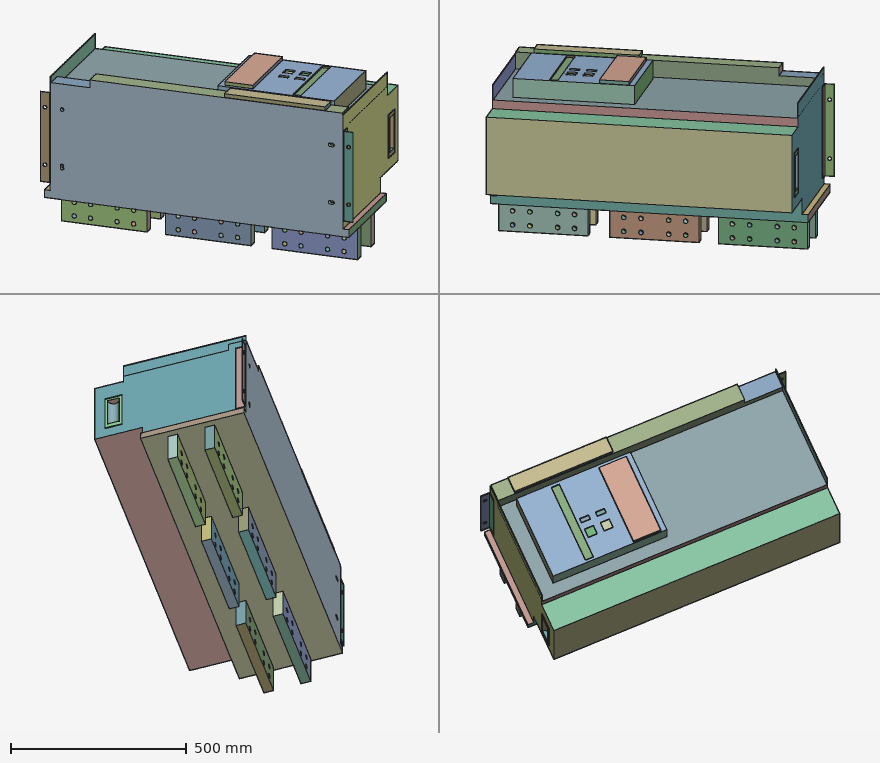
import cadquery as cq

body_width = 889.0
depth = 452.0
upper_depth = 366.0
base_depth = 309.0
base_width = 924.0
base_height = 24.0
housing_bottom = 70.0
housing_top = 300.5
floor_height = 326.0
sheet = 2.4
sheet_top = 371.0

rail_depth = 52.0
rail_low_top = 353.0
rail_top = 376.0
rail_step_x = -324.0

strip_left, strip_right = 83.0, 390.0
strip_front, strip_back = 2.0, 49.0
strip_top = 388.0

panel_left, panel_right = 39.0, 392.0
panel_front, panel_back = 69.0, 328.0
panel_top = 382.0
display_left, display_right = 56.0, 141.0
display_front, display_back = 81.0, 325.0
display_top = 392.0
recess_depth = 5.0
button_width = 27.5
button_centers_x = (190.0, 239.0)
button_rows = ((246.0, 27.5), (204.0, 13.0))
slot_left, slot_right = 264.0, 288.0
slot_front, slot_back = 78.0, 319.5

overall_width = 948
angle_bottom, angle_top = 47.0, 321.0
angle_depth = 29.0
angle_bend_radius = sheet
mount_hole_x = 461.0
mount_hole_heights = (100.0, 275.0)
mount_hole_diameter = 10.0

front_hole_x = 409.0
front_hole_diameter = 10.0
front_hole_depth = 14.0
front_slot_length = 17.0

handle_front, handle_back = 370.0, 421.0
handle_bottom, handle_top = 107.0, 239.0
grip_center_y = 395.0
grip_radius = 17.0
grip_bottom, grip_top = 122.0, 227.5

bar_width = 260.0
bar_length = 102.0
bar_thickness = 29.0
bar_lefts = (-body_width / 2, -129.0, 194.0)
bar_fronts = (93.0, 204.0)
bar_hole_offsets = (39.0, 88.0, 169.0, 219.0)
bar_hole_heights = (-82.5, -41.0)
bar_hole_diameter = 13.0

half_body = body_width / 2
half_inside = half_body - sheet


def box(x_range, y_range, z_range):
    """Box spanning the given (low, high) pairs."""
    (x0, x1), (y0, y1), (z0, z1) = x_range, y_range, z_range
    return cq.Workplane("XY").box(x1 - x0, y1 - y0, z1 - z0, centered=False).translate((x0, y0, z0))


def side_profile(top):
    """Side outline in the YZ plane with the rear housing, up to the given height."""
    return (
        cq.Workplane("YZ")
        .moveTo(0, 0)
        .lineTo(base_depth, 0)
        .lineTo(base_depth, housing_bottom)
        .lineTo(depth, housing_bottom)
        .lineTo(depth, housing_top)
        .lineTo(upper_depth, housing_top)
        .lineTo(upper_depth, top)
        .lineTo(0, top)
        .close()
    )


def cabinet():
    body = side_profile(floor_height).extrude(half_body, both=True)
    for x in (-half_body, half_inside):
        body = body.union(side_profile(sheet_top).extrude(sheet).translate((x, 0, 0)))
    base = box((-base_width / 2, base_width / 2), (0, base_depth), (0, base_height))
    return body.union(base)


def front_rail():
    low = box((-half_inside, half_inside), (0, rail_depth), (floor_height, rail_low_top))
    high = box((rail_step_x, half_inside), (0, rail_depth), (floor_height, rail_top))
    strip = box((strip_left, strip_right), (strip_front, strip_back), (rail_top, strip_top))
    return low.union(high).union(strip)


def operator_panel():
    panel = box((panel_left, panel_right), (panel_front, panel_back), (floor_height, panel_top))
    display = box((display_left, display_right), (display_front, display_back), (panel_top, display_top))
    panel = panel.union(display)
    recess = (panel_top - recess_depth, panel_top)
    for x in button_centers_x:
        for y, length in button_rows:
            button_x = (x - button_width / 2, x + button_width / 2)
            button_y = (y - length / 2, y + length / 2)
            panel = panel.cut(box(button_x, button_y, recess))
    return panel.cut(box((slot_left, slot_right), (slot_front, slot_back), recess))


def mounting_angle():
    """Angle at the +X front corner, rounded where it bends, with its two mounting holes."""
    height = (angle_bottom, angle_top)
    side_leg = box((half_body, half_body + sheet), (0, angle_depth), height)
    front_leg = box((half_body, overall_width / 2), (0, sheet), height)
    holes = (
        cq.Workplane("XZ")
        .pushPoints([(mount_hole_x, z) for z in mount_hole_heights])
        .circle(mount_hole_diameter / 2)
        .extrude(-sheet)
    )
    angle = side_leg.union(front_leg).edges("|Z and <X and <Y").fillet(angle_bend_radius)
    return angle.cut(holes)


def front_holes():
    """Blind holes near the front corners: one round, the others slotted."""
    low, high = mount_hole_heights
    face = cq.Workplane("XZ")
    round_hole = face.center(-front_hole_x, high).circle(front_hole_diameter / 2).extrude(-front_hole_depth)
    upright_slot = (
        face.center(-front_hole_x, low)
        .slot2D(front_slot_length, front_hole_diameter, 90)
        .extrude(-front_hole_depth)
    )
    level_slots = (
        face.pushPoints([(front_hole_x, low), (front_hole_x, high)])
        .slot2D(front_slot_length, front_hole_diameter)
        .extrude(-front_hole_depth)
    )
    return round_hole.union(upright_slot).union(level_slots)


def handle_plate():
    """Raised handle plate on the +X side."""
    return box((half_body, half_body + sheet), (handle_front, handle_back), (handle_bottom, handle_top))


def handle_grip():
    """Half-round finger recess on the +X side."""
    return (
        cq.Workplane("XY")
        .workplane(offset=grip_bottom)
        .center(half_body + sheet, grip_center_y)
        .circle(grip_radius)
        .extrude(grip_top - grip_bottom)
    )


def busbars():
    bars = cq.Workplane("XY")
    for left in bar_lefts:
        for front in bar_fronts:
            bars = bars.union(
                box((left, left + bar_width), (front, front + bar_thickness), (-bar_length, 0))
            )
    hole_points = [(left + x, z) for left in bar_lefts for x in bar_hole_offsets for z in bar_hole_heights]
    holes = cq.Workplane("XZ").pushPoints(hole_points).circle(bar_hole_diameter / 2).extrude(-base_depth)
    return bars.cut(holes)


def both_sides(shape):
    return shape.union(shape.mirror("YZ"))


result = (
    cabinet()
    .union(front_rail())
    .union(operator_panel())
    .union(busbars())
    .union(both_sides(mounting_angle()))
    .union(both_sides(handle_plate()))
    .cut(both_sides(handle_grip()))
    .cut(front_holes())
)